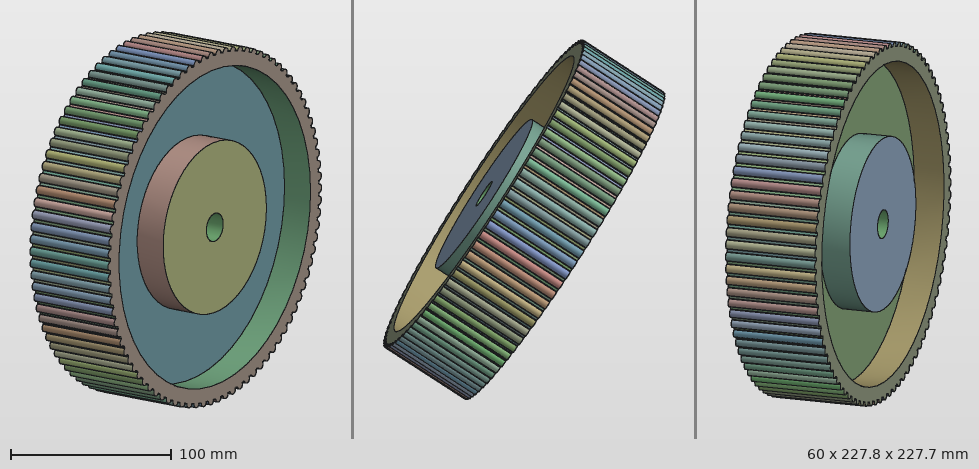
import cadquery as cq
import math

outer_diameter = 227.8
face_width = 60.0
bore_diameter = 18.0

tooth_count = 90
tooth_height = 2.7
tooth_tip_radius = 2.7
root_fillet_radius = 0.36
outer_radius = outer_diameter / 2
root_radius = outer_radius - tooth_height

rim_inner_diameter = 204.0
hub_diameter = 110.0
web_thickness = face_width / 3
recess_depth = (face_width - web_thickness) / 2


def rim_point(radius, angle):
    """Point (y, z) at a radius and an angle measured from +Y."""
    return (radius * math.cos(angle), radius * math.sin(angle))


def toothed_blank():
    """Solid toothed disc centred on the origin, its axis along X and a tooth on +Y."""
    pitch_angle = 2 * math.pi / tooth_count

    tip_center = outer_radius - tooth_tip_radius
    fillet_center = root_radius + root_fillet_radius
    center_distance = tooth_tip_radius + root_fillet_radius
    foot_angle = math.acos(
        (tip_center**2 + fillet_center**2 - center_distance**2) / (2 * tip_center * fillet_center)
    )

    fillet_y, fillet_z = rim_point(fillet_center, foot_angle)
    tip_share = tooth_tip_radius / center_distance
    shoulder_y = tip_center + (fillet_y - tip_center) * tip_share
    shoulder_z = fillet_z * tip_share
    shoulder_radius = math.hypot(shoulder_y, shoulder_z)
    shoulder_angle = math.atan2(shoulder_z, shoulder_y)

    outline = cq.Workplane("YZ").moveTo(*rim_point(root_radius, -foot_angle))
    for index in range(tooth_count):
        angle = index * pitch_angle
        next_angle = angle + pitch_angle
        rising_shoulder = rim_point(shoulder_radius, angle - shoulder_angle)
        falling_shoulder = rim_point(shoulder_radius, angle + shoulder_angle)
        tooth_end = rim_point(root_radius, angle + foot_angle)
        gap_middle = rim_point(root_radius, angle + pitch_angle / 2)
        next_tooth_start = rim_point(root_radius, next_angle - foot_angle)
        outline = (
            outline.radiusArc(rising_shoulder, -root_fillet_radius)
            .threePointArc(rim_point(outer_radius, angle), falling_shoulder)
            .radiusArc(tooth_end, -root_fillet_radius)
            .threePointArc(gap_middle, next_tooth_start)
        )
    return outline.close().extrude(face_width / 2, both=True)


def recess(start_x):
    """Ring of material between hub and rim, one recess deep, starting at start_x."""
    return (
        cq.Workplane("YZ", origin=(start_x, 0, 0))
        .circle(rim_inner_diameter / 2)
        .circle(hub_diameter / 2)
        .extrude(recess_depth)
    )


def bore():
    """Shaft hole through the full width."""
    return cq.Workplane("YZ").circle(bore_diameter / 2).extrude(face_width / 2, both=True)


result = toothed_blank().cut(bore())
for start_x in (-face_width / 2, web_thickness / 2):
    result = result.cut(recess(start_x))